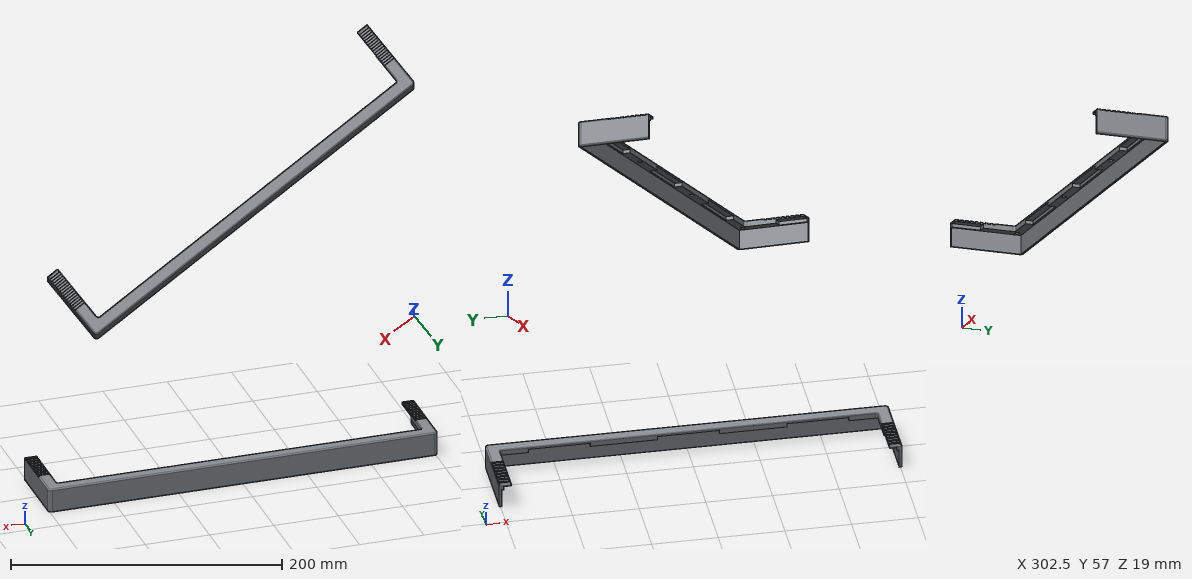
import cadquery as cq
length = 302.5
depth = 57.0
height = 19.0

wall = 2.0
flange_width = 9.5
flange_thickness = 1.8
step_width = 3.5
step_height = 4.5

outer_corner_radius = 2.7
inner_corner_radius = 1.8
outer_edge_radius = 1.05
inner_edge_radius = 0.5

notch_length = 46.5
notch_pitch = 97.0
notch_count = 3
leg_pad_end_from_back = 34.5

hole_diameter = 3.5
hole_depth = 3.5
hole_inset = 6.7

groove_count = 8
groove_width = 1.97
groove_depth = 1.0
groove_pitch = 4.0
first_groove_from_back = 25.7


def u_shape(band_width, thickness, top):
    """U-shaped plate with square corners, following the outside of the frame."""
    bottom = top - thickness
    plate = cq.Workplane("XY").box(length, depth, thickness, centered=False)
    opening = cq.Workplane("XY").box(
        length - 2 * band_width, depth - band_width, thickness, centered=False
    )
    plate = plate.cut(opening.translate((band_width, 0, 0)))
    return plate.translate((0, 0, bottom))


def pad_band():
    """Thick band under the flange with open notches along the back and at the leg ends."""
    band = u_shape(flange_width, step_height, height)
    bottom = height - step_height
    notch_depth = flange_width - step_width

    notch = cq.Workplane("XY").box(notch_length, notch_depth, step_height, centered=False)
    for index in range(notch_count):
        center = length / 2 + (index - (notch_count - 1) / 2) * notch_pitch
        band = band.cut(notch.translate((center - notch_length / 2, depth - flange_width, bottom)))

    leg_notch_length = depth - leg_pad_end_from_back
    leg_notch = cq.Workplane("XY").box(notch_depth, leg_notch_length, step_height, centered=False)
    for left in (step_width, length - flange_width):
        band = band.cut(leg_notch.translate((left, 0, bottom)))
    return band


def inner_corner_fillers():
    """Concave quarter-round fillers where the legs meet the back."""
    radius = inner_corner_radius
    back_edge = depth - flange_width
    bottom = height - step_height
    fillers = cq.Workplane("XY")
    for x, direction in ((flange_width, 1), (length - flange_width, -1)):
        block = cq.Workplane("XY").rect(radius, radius).extrude(step_height)
        block = block.translate((x + direction * radius / 2, back_edge - radius / 2, bottom))
        round_cut = cq.Workplane("XY").circle(radius).extrude(step_height)
        block = block.cut(round_cut.translate((x + direction * radius, back_edge - radius, bottom)))
        fillers = fillers.add(block)
    return fillers.combine()


def frame():
    """Wall, flange and pads joined, with corners and edges rounded."""
    body = u_shape(wall, height, height)
    body = body.union(u_shape(flange_width, flange_thickness, height))
    body = body.union(pad_band()).union(inner_corner_fillers()).clean()
    body = body.edges("|Z and >Y").fillet(outer_corner_radius)

    margin = wall / 2
    opening_edges = cq.selectors.BoxSelector(
        (margin, margin, -margin), (length - margin, depth - margin, height + margin)
    )
    outer_edges = cq.selectors.InverseSelector(opening_edges)
    body = body.faces(">Z").edges(outer_edges).fillet(outer_edge_radius)
    body = body.faces("<Z").edges(outer_edges).edges("not(<Y)").fillet(outer_edge_radius)
    return body.faces(">Z").edges(opening_edges).fillet(inner_edge_radius)


def grip_grooves():
    """Rows of straight grooves running across both legs."""
    points = []
    for index in range(groove_count):
        y = depth - first_groove_from_back - index * groove_pitch
        for x in (flange_width / 2, length - flange_width / 2):
            points.append((x, y))
    return (
        cq.Workplane("XY", origin=(0, 0, height - groove_depth))
        .pushPoints(points)
        .rect(flange_width, groove_width)
        .extrude(groove_depth)
    )


def pad_holes():
    """One blind hole in each corner pad and in each pad between the back notches."""
    middle_offset = notch_pitch / 2
    corner_offset = length / 2 - hole_inset
    offsets = (-corner_offset, -middle_offset, middle_offset, corner_offset)
    return (
        cq.Workplane("XY", origin=(length / 2, depth - hole_inset, height - step_height))
        .pushPoints([(offset, 0) for offset in offsets])
        .circle(hole_diameter / 2)
        .extrude(hole_depth)
    )


result = frame().cut(grip_grooves()).cut(pad_holes())